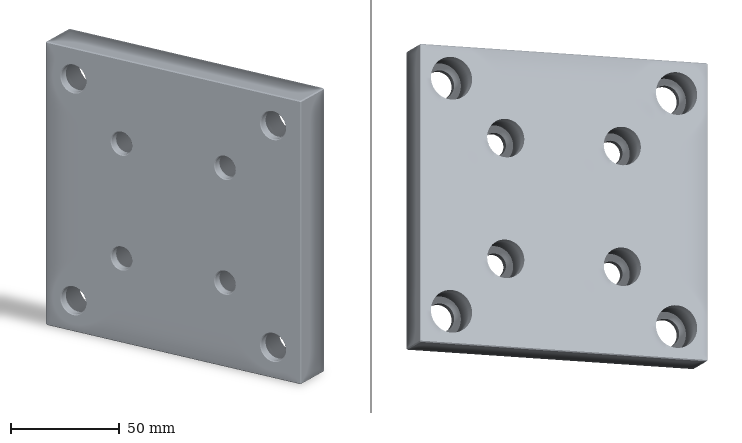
import cadquery as cq

side = 140.0
thickness = 20.0
edge_chamfer = 0.5

outer_spacing = 109.5
outer_diameter = 13.5
outer_bore_diameter = 20.0
outer_bore_depth = 16.0

inner_spacing = 56.7
inner_diameter = 11.0
inner_bore_diameter = 18.0
inner_bore_depth = outer_bore_depth

hole_chamfer = 0.4


def hole_cutters(spacing, diameter, bore_diameter, bore_depth):
    """Four counterbored through holes on a square, chamfered at the front face."""
    radius = diameter / 2
    bore_radius = bore_diameter / 2
    bore_floor = thickness - bore_depth
    profile = [
        (0, 0),
        (radius + hole_chamfer, 0),
        (radius, hole_chamfer),
        (radius, bore_floor),
        (bore_radius, bore_floor),
        (bore_radius, thickness),
        (0, thickness),
    ]
    cutter = cq.Workplane("XY").polyline(profile).close().revolve(360, (0, 0, 0), (0, 1, 0))
    cutters = cq.Workplane("XY")
    for x in (-spacing / 2, spacing / 2):
        for z in (-spacing / 2, spacing / 2):
            cutters = cutters.add(cutter.translate((x, -thickness / 2, z)))
    return cutters.combine()


plate = cq.Workplane("XY").box(side, thickness, side).edges().chamfer(edge_chamfer)
outer_holes = hole_cutters(outer_spacing, outer_diameter, outer_bore_diameter, outer_bore_depth)
inner_holes = hole_cutters(inner_spacing, inner_diameter, inner_bore_diameter, inner_bore_depth)

result = plate.cut(outer_holes).cut(inner_holes)